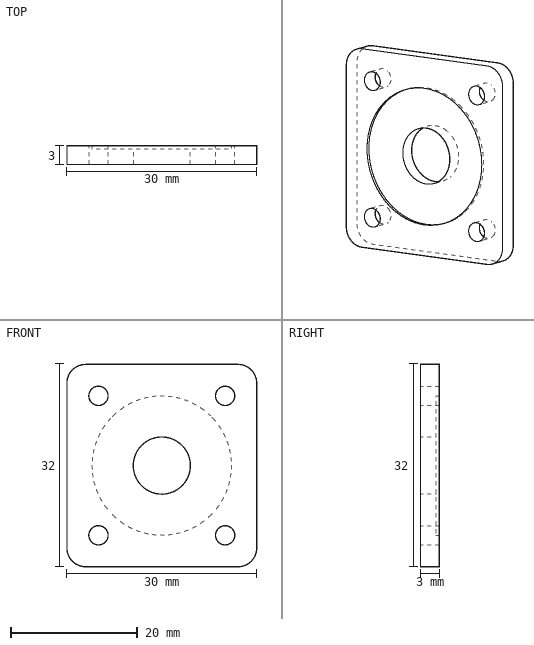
import cadquery as cq

plate_width = 30.0
plate_height = 32.0
plate_thickness = 3.0
corner_radius = 3.0

recess_diameter = 22.0
recess_depth = 0.5

center_hole_diameter = 9.0
mounting_hole_diameter = 3.0
mounting_spacing_x = 20.0
mounting_spacing_z = 22.0


def make_plate():
    """Rectangular plate centred on the origin, with its four corners rounded."""
    plate = cq.Workplane("XY").box(plate_width, plate_thickness, plate_height)
    return plate.edges("|Y").fillet(corner_radius)


def cut_back_recess(plate):
    """Shallow round pocket in the back face."""
    back_face = plate.faces(">Y").workplane(centerOption="CenterOfBoundBox")
    return back_face.circle(recess_diameter / 2).cutBlind(-recess_depth)


def cut_holes(plate):
    """Central bore and a rectangular pattern of four mounting holes."""
    bored = plate.faces("<Y").workplane(centerOption="CenterOfBoundBox").hole(center_hole_diameter)
    return (
        bored.faces("<Y")
        .workplane(centerOption="CenterOfBoundBox")
        .rect(mounting_spacing_x, mounting_spacing_z, forConstruction=True)
        .vertices()
        .hole(mounting_hole_diameter)
    )


result = cut_holes(cut_back_recess(make_plate()))